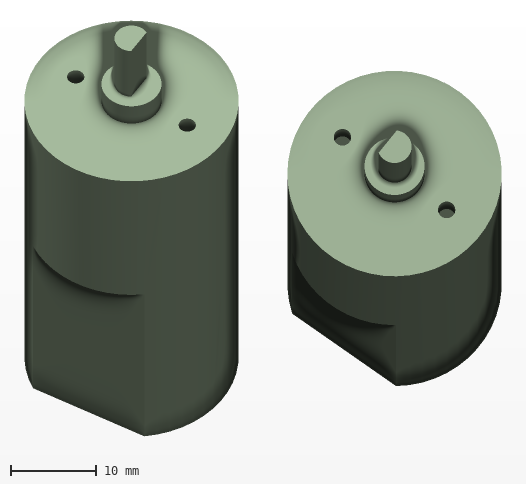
import cadquery as cq
import math

total_height = 56.0
shaft_length = 8.0
boss_height = 3.0
body_height = total_height - shaft_length - boss_height

body_diameter = 25.0
boss_diameter = 7.0
shaft_diameter = 4.0

flat_height = 25.0
across_flats = 20.0

flat_front_edge_x = 0.95
flat_rear_edge_x = 1.05

hole_diameter = 2.0
hole_spacing = 15.0
hole_depth = 3.0


def make_body():
    """Cylinder whose lower portion is trimmed by two parallel flats."""
    lower = (
        cq.Workplane("XY")
        .circle(body_diameter / 2)
        .extrude(flat_height)
        .intersect(
            cq.Workplane("XY").rect(body_diameter, across_flats).extrude(flat_height)
        )
    )
    upper = (
        cq.Workplane("XY", origin=(0, 0, flat_height))
        .circle(body_diameter / 2)
        .extrude(body_height - flat_height)
    )
    return lower.union(upper)


def make_boss():
    """Round boss around the foot of the shaft."""
    return (
        cq.Workplane("XY", origin=(0, 0, body_height))
        .circle(boss_diameter / 2)
        .extrude(boss_height)
    )


def make_shaft():
    """D-shaped output shaft, flat along its full exposed length."""
    shaft_radius = shaft_diameter / 2
    front_edge_y = -math.sqrt(shaft_radius**2 - flat_front_edge_x**2)
    rear_edge_y = math.sqrt(shaft_radius**2 - flat_rear_edge_x**2)
    return (
        cq.Workplane("XY", origin=(0, 0, body_height + boss_height))
        .moveTo(flat_rear_edge_x, rear_edge_y)
        .threePointArc((-shaft_radius, 0), (flat_front_edge_x, front_edge_y))
        .close()
        .extrude(shaft_length)
    )


def make_mounting_holes():
    """Pair of blind holes on the X axis, sunk from the top of the body."""
    return (
        cq.Workplane("XY", origin=(0, 0, body_height))
        .pushPoints([(-hole_spacing / 2, 0), (hole_spacing / 2, 0)])
        .circle(hole_diameter / 2)
        .extrude(-hole_depth)
    )


result = make_body().union(make_boss()).union(make_shaft()).cut(make_mounting_holes())